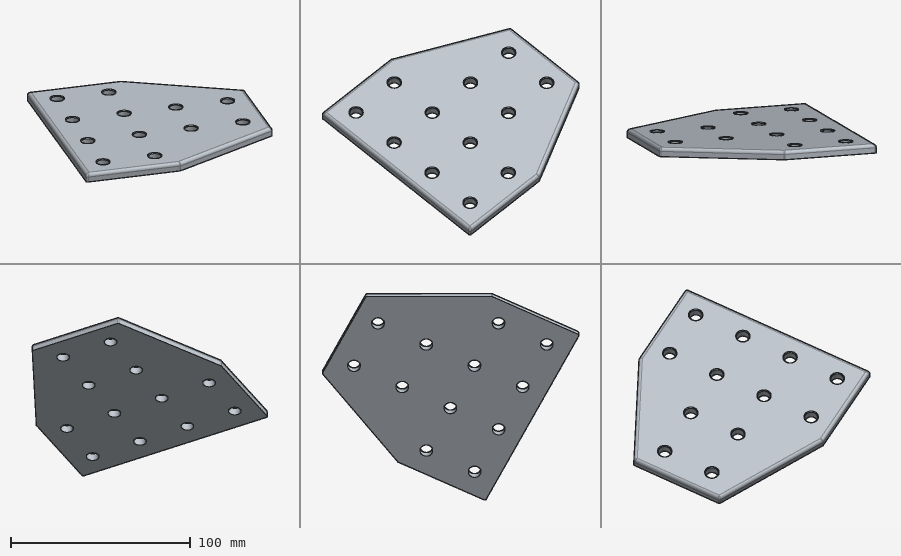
import cadquery as cq

side = 117.0
thickness = 5.0
straight_length = 54.4
corner_radius = 1.0
rim_radius = 2.0
hole_diameter = 7.0
hole_chamfer = 0.5
chamfer_angle = 45
hole_pitch = 30.0
row_columns = [4, 4, 2, 2]

half_side = side / 2
half_narrow = straight_length / 2
shoulder_y = straight_length - half_side


def plate():
    """Symmetric tapered plate with rounded corners and a rounded upper rim."""
    outline = [
        (-half_side, -half_side),
        (half_side, -half_side),
        (half_side, shoulder_y),
        (half_narrow, half_side),
        (-half_narrow, half_side),
        (-half_side, shoulder_y),
    ]
    blank = cq.Workplane("XY").polyline(outline).close().extrude(thickness)
    rounded = blank.edges("|Z").fillet(corner_radius)
    return rounded.faces(">Z").edges().fillet(rim_radius)


def hole_centers():
    """Square grid of holes: wide rows of four, then narrow rows of two."""
    centers = []
    for row, columns in enumerate(row_columns):
        y = (row - (len(row_columns) - 1) / 2) * hole_pitch
        for column in range(columns):
            x = (column - (columns - 1) / 2) * hole_pitch
            centers.append((x, y))
    return centers


def hole_cutters():
    """Through holes with a small chamfer at the upper face."""
    centers = hole_centers()
    bores = cq.Workplane("XY").pushPoints(centers).circle(hole_diameter / 2).extrude(thickness)
    mouths = (
        cq.Workplane("XY", origin=(0, 0, thickness))
        .pushPoints(centers)
        .circle(hole_diameter / 2 + hole_chamfer)
        .extrude(-hole_chamfer, taper=chamfer_angle)
    )
    return bores.union(mouths)


result = plate().cut(hole_cutters())